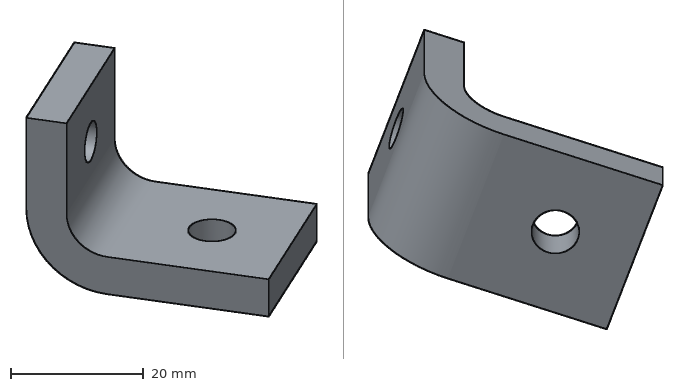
import cadquery as cq

length = 38.1
width = 25.4
height = 28.1

thickness = 6.35
inner_bend_radius = thickness
outer_bend_radius = inner_bend_radius + thickness

base_hole_diameter = 7.15
base_hole_from_end = 12.7
upright_hole_diameter = 6.35
upright_hole_from_top = 9.52


def bent_sheet():
    """L-shaped sheet with a concentric rounded bend, centred on Y = 0."""
    upright = cq.Workplane("XY").box(thickness, width, height, centered=(False, True, False))
    base = cq.Workplane("XY").box(length, width, thickness, centered=(False, True, False))
    sheet = upright.union(base)
    inner_corner = cq.selectors.NearestToPointSelector((thickness, 0, thickness))
    outer_corner = cq.selectors.NearestToPointSelector((0, 0, 0))
    sheet = sheet.edges(inner_corner).fillet(inner_bend_radius)
    return sheet.edges(outer_corner).fillet(outer_bend_radius)


def base_hole():
    """Vertical cutter through the base."""
    hole = cq.Workplane("XY").circle(base_hole_diameter / 2).extrude(thickness)
    return hole.translate((length - base_hole_from_end, 0, 0))


def upright_hole():
    """Horizontal cutter through the upright."""
    hole = cq.Workplane("YZ").circle(upright_hole_diameter / 2).extrude(thickness)
    return hole.translate((0, 0, height - upright_hole_from_top))


result = bent_sheet().cut(base_hole()).cut(upright_hole())